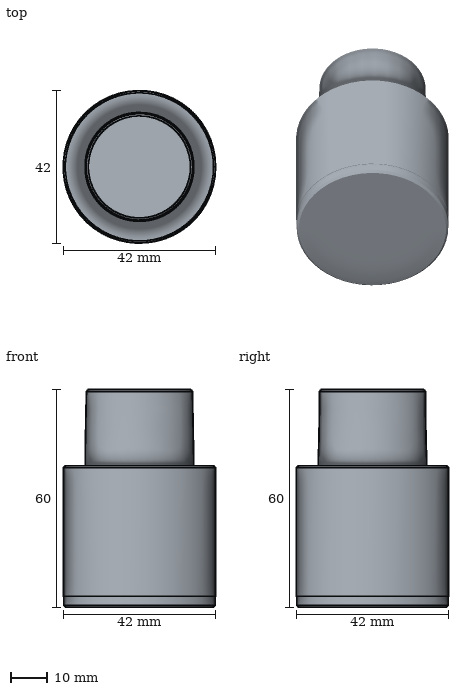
import cadquery as cq

total_height = 60.0
shoulder_height = 39.0
collar_height = 1.0
base_band_height = 3.1

body_radius = 21.0
base_band_radius = 20.9
neck_root_radius = 15.0
neck_top_radius = 14.65

edge_chamfer = 0.6

collar_top = shoulder_height + collar_height
neck_top = total_height - edge_chamfer

profile = (
    cq.Workplane("XZ")
    .lineTo(base_band_radius - edge_chamfer, 0)
    .lineTo(base_band_radius, edge_chamfer)
    .lineTo(base_band_radius, base_band_height)
    .lineTo(body_radius, base_band_height)
    .lineTo(body_radius, shoulder_height - edge_chamfer)
    .lineTo(body_radius - edge_chamfer, shoulder_height)
    .lineTo(neck_root_radius, shoulder_height)
    .lineTo(neck_root_radius, collar_top)
    .lineTo(neck_top_radius, neck_top)
    .lineTo(neck_top_radius - edge_chamfer, total_height)
    .lineTo(0, total_height)
    .close()
)

result = profile.revolve(360, (0, 0, 0), (0, 1, 0))